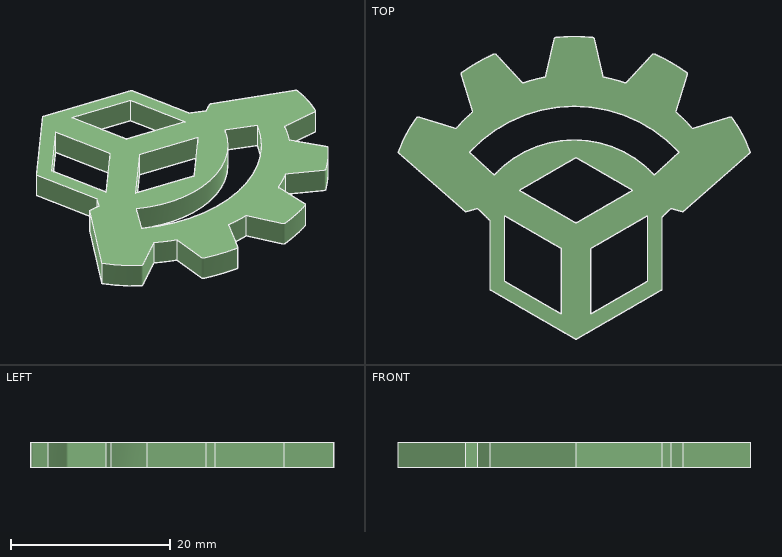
import cadquery as cq
import math

THICKNESS = 3.175

CUBE_EDGE = 12.5
WINDOW_EDGE = 8.2

GEAR_CENTER = (-0.22, 1.25)
TIP_RADIUS = 24.35
ROOT_RADIUS = 19.6
TOOTH_PITCH = 30.0
TIP_HALF_ANGLE = 5.9
ROOT_HALF_ANGLE = 10.7
TIP_ROUNDING = 0.3
SIDE_TEETH = 2

SECTOR_HALF_WIDTH = 22.155
SECTOR_CORNER_HEIGHT = 9.75
HEEL = (13.65, 2.28)
NOTCH = (12.15, 2.7)
NOTCH_FOOT = (10.2, 0.8)

SLOT_CENTER_DROP = 2.35
SLOT_INNER_RADIUS = 13.7
SLOT_OUTER_RADIUS = 17.9
SLOT_HALF_ANGLE = 47.3


def polar(radius, angle):
    """Point at a radius and an angle in degrees, clockwise from +Y."""
    turn = math.radians(angle)
    return (radius * math.sin(turn), radius * math.cos(turn))


def mirrored(point):
    return (-point[0], point[1])


def gear_sector():
    """Toothed fan, drawn from its left corner clockwise back to the lower edge."""
    right_corner = (SECTOR_HALF_WIDTH, SECTOR_CORNER_HEIGHT)
    outline = cq.Workplane("XY").center(*GEAR_CENTER).moveTo(*mirrored(right_corner))
    rounded_corners = []
    for index in range(-SIDE_TEETH, SIDE_TEETH + 1):
        angle = index * TOOTH_PITCH
        tip_start = polar(TIP_RADIUS, angle - TIP_HALF_ANGLE)
        tip_end = polar(TIP_RADIUS, angle + TIP_HALF_ANGLE)
        if index > -SIDE_TEETH:
            gap_middle = polar(ROOT_RADIUS, angle - TOOTH_PITCH / 2)
            root_end = polar(ROOT_RADIUS, angle - ROOT_HALF_ANGLE)
            outline = outline.threePointArc(gap_middle, root_end).lineTo(*tip_start)
            rounded_corners.append(tip_start)
        if index < SIDE_TEETH:
            root_start = polar(ROOT_RADIUS, angle + ROOT_HALF_ANGLE)
            outline = outline.threePointArc(polar(TIP_RADIUS, angle), tip_end).lineTo(*root_start)
            rounded_corners.append(tip_end)
        else:
            outline = outline.threePointArc(polar(TIP_RADIUS, angle), right_corner)
    lower_edge = [HEEL, NOTCH, NOTCH_FOOT, mirrored(NOTCH_FOOT), mirrored(NOTCH), mirrored(HEEL)]
    for point in lower_edge:
        outline = outline.lineTo(*point)
    sector = outline.close().extrude(THICKNESS)

    center_x, center_y = GEAR_CENTER
    for x, y in rounded_corners:
        corner = (center_x + x, center_y + y, THICKNESS / 2)
        sector = sector.edges(cq.selectors.NearestToPointSelector(corner)).fillet(TIP_ROUNDING)
    return sector


def cube_body():
    """Regular hexagon with a corner at the bottom."""
    corners = [polar(CUBE_EDGE, 60 * index) for index in range(6)]
    return cq.Workplane("XY").polyline(corners).close().extrude(THICKNESS)


def cube_windows():
    """One rhombic window centred in each of the three visible cube faces."""
    long_half = WINDOW_EDGE * math.cos(math.radians(30))
    short_half = WINDOW_EDGE / 2
    rhombus = [(-long_half, 0), (0, short_half), (long_half, 0), (0, -short_half)]
    window = (
        cq.Workplane("XY")
        .center(0, CUBE_EDGE / 2)
        .polyline(rhombus)
        .close()
        .extrude(THICKNESS)
    )
    windows = window
    for angle in (120, 240):
        windows = windows.union(window.rotate((0, 0, 0), (0, 0, 1), angle))
    return windows


def curved_slot():
    """Arched opening with straight radial ends."""
    outer_end = polar(SLOT_OUTER_RADIUS, SLOT_HALF_ANGLE)
    inner_end = polar(SLOT_INNER_RADIUS, SLOT_HALF_ANGLE)
    return (
        cq.Workplane("XY")
        .center(GEAR_CENTER[0], GEAR_CENTER[1] - SLOT_CENTER_DROP)
        .moveTo(*mirrored(outer_end))
        .threePointArc((0, SLOT_OUTER_RADIUS), outer_end)
        .lineTo(*inner_end)
        .threePointArc((0, SLOT_INNER_RADIUS), mirrored(inner_end))
        .close()
        .extrude(THICKNESS)
    )


result = gear_sector().union(cube_body()).cut(cube_windows()).cut(curved_slot())